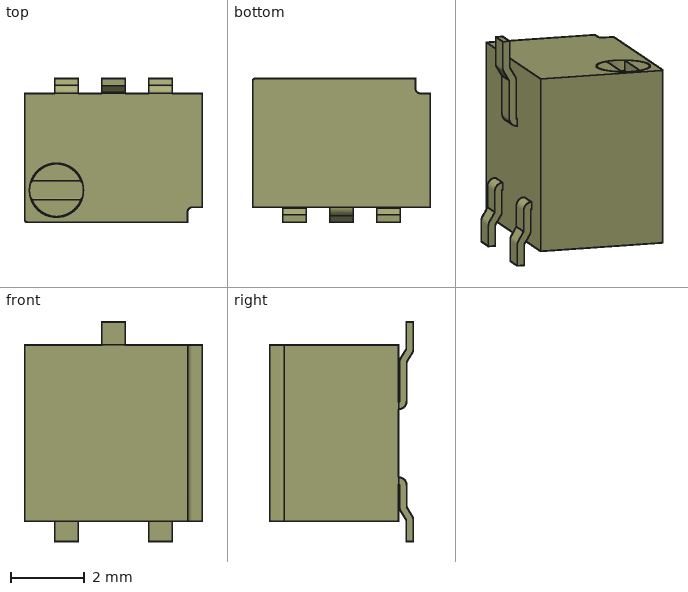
import cadquery as cq
import math

body_width = 4.83
body_depth = 3.505
body_height = 4.8
corner_radius = 0.07
notch_width = 0.4
notch_depth = 0.405
notch_radius = 0.125

screw_x = 0.865
screw_y = 0.87
well_radius = 0.735
head_radius = 0.715
slot_width = 0.515
slot_depth = 0.3
slot_floor_radius = 0.035

lead_width = 0.645
lead_pitch = 1.28
lead_thickness = 0.2
lead_reach = 0.405
lead_gap = 0.025
jog_length = 0.3
top_tip_length = 0.62
top_jog_start = 0.175
top_root_length = 1.055
bottom_tip_length = 0.55
bottom_jog_start = 0.095
bottom_root_length = 0.585


def make_housing():
    """Block with a rounded front left edge and a notched front right edge."""
    block = cq.Workplane("XY").box(body_width, body_depth, body_height, centered=False)
    block = block.edges("|Z and <X and <Y").fillet(corner_radius)
    notch = (
        cq.Workplane("XY")
        .box(notch_width, notch_depth, body_height, centered=False)
        .edges("|Z and <X and >Y")
        .fillet(notch_radius)
        .translate((body_width - notch_width, 0, 0))
    )
    return block.cut(notch)


def cut_screw(housing):
    """Thin ring around the screw head, and a slot with rounded floor corners across the head."""
    top = cq.Workplane("XY", origin=(screw_x, screw_y, body_height))
    ring = top.circle(well_radius).circle(head_radius).extrude(-slot_depth)
    slot = (
        top.rect(2 * well_radius, slot_width)
        .extrude(-slot_depth)
        .edges("|X and <Z")
        .fillet(slot_floor_radius)
    )
    well = top.circle(well_radius).extrude(-slot_depth)
    return housing.cut(ring).cut(slot.intersect(well))


def make_lead(center_x, tip_length, jog_start, root_length):
    """Lead running up past the top face: Y is the reach from the back face, Z is from the top face."""
    outer_root = lead_gap + lead_thickness
    inner_tip = lead_reach - lead_thickness
    jog_end = jog_start + jog_length
    root = jog_end + root_length
    slope_angle = math.atan2(lead_reach - outer_root, jog_length)
    knee_shift = lead_thickness * math.tan(slope_angle / 2)
    diagonal = outer_root * math.sqrt(0.5)
    inner_diagonal = lead_gap * math.sqrt(0.5)
    profile = (
        cq.Workplane("YZ")
        .moveTo(lead_reach, tip_length)
        .lineTo(lead_reach, -jog_start)
        .lineTo(outer_root, -jog_end)
        .lineTo(outer_root, -root)
        .threePointArc((diagonal, -root - diagonal), (0, -root - outer_root))
        .lineTo(0, -root - lead_gap)
        .threePointArc((inner_diagonal, -root - inner_diagonal), (lead_gap, -root))
        .lineTo(lead_gap, knee_shift - jog_end)
        .lineTo(inner_tip, knee_shift - jog_start)
        .lineTo(inner_tip, tip_length)
        .close()
    )
    lead = profile.extrude(lead_width / 2, both=True)
    for bend in ((0, lead_reach, -jog_start), (0, lead_gap, knee_shift - jog_end)):
        lead = lead.edges(cq.selectors.NearestToPointSelector(bend)).fillet(lead_thickness)
    return lead.translate((center_x, body_depth, body_height))


center_x = body_width / 2
result = cut_screw(make_housing())
result = result.union(make_lead(center_x, top_tip_length, top_jog_start, top_root_length))
for side in (-1, 1):
    lead = make_lead(center_x + side * lead_pitch, bottom_tip_length, bottom_jog_start, bottom_root_length)
    result = result.union(lead.mirror("XY", (0, 0, body_height / 2)))